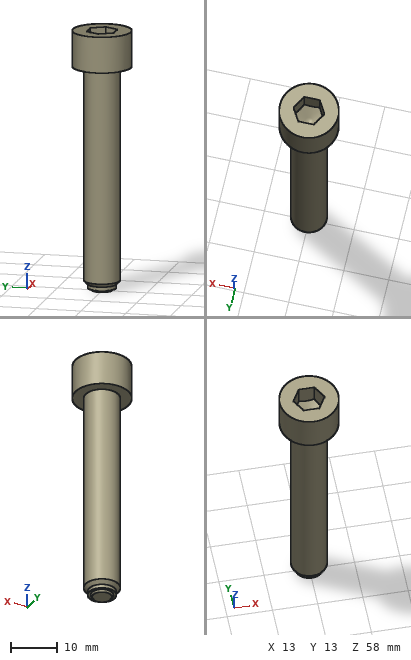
import cadquery as cq
import math

TOTAL_LENGTH = 58.0
HEAD_DIAMETER = 13.0
HEAD_HEIGHT = 8.0
SHANK_DIAMETER = 8.0

TIP_CHAMFER = 0.85
COLLAR_HEIGHT = 0.85
BALL_PROTRUSION = 0.5

BALL_RADIUS = 2.7
BALL_CENTRE_TO_FLAT = 1.6

SOCKET_ACROSS_FLATS = 6.0
SOCKET_DEPTH = 4.0
SOCKET_CONE_ANGLE = 120.0

SHANK_RADIUS = SHANK_DIAMETER / 2
COLLAR_RADIUS = SHANK_RADIUS - TIP_CHAMFER
COLLAR_END_Z = BALL_PROTRUSION
CHAMFER_END_Z = COLLAR_END_Z + COLLAR_HEIGHT
SHANK_END_Z = CHAMFER_END_Z + TIP_CHAMFER
HEAD_BOTTOM_Z = TOTAL_LENGTH - HEAD_HEIGHT


def ball_sphere():
    """Full sphere, the shape of the seat."""
    return cq.Workplane("XY").sphere(BALL_RADIUS).translate((0, 0, BALL_CENTRE_TO_FLAT))


def make_ball():
    """Ball cut off flat below Z = 0."""
    half_space = cq.Workplane("XY").circle(2 * BALL_RADIUS).extrude(4 * BALL_RADIUS)
    return ball_sphere().intersect(half_space)


def socket():
    """Hexagonal prism whose bottom is bounded by a cone through its corners."""
    corner_radius = SOCKET_ACROSS_FLATS / math.sqrt(3)
    cone_height = corner_radius / math.tan(math.radians(SOCKET_CONE_ANGLE / 2))
    cone_base_z = TOTAL_LENGTH - SOCKET_DEPTH
    apex_z = cone_base_z - cone_height
    prism = (
        cq.Workplane("XY")
        .workplane(offset=apex_z)
        .polygon(6, 2 * corner_radius)
        .extrude(TOTAL_LENGTH - apex_z)
    )
    pointed_bore = (
        cq.Workplane("XZ")
        .moveTo(0, apex_z)
        .lineTo(corner_radius, cone_base_z)
        .lineTo(corner_radius, TOTAL_LENGTH)
        .lineTo(0, TOTAL_LENGTH)
        .close()
        .revolve(360, (0, 0, 0), (0, 1, 0))
    )
    return prism.intersect(pointed_bore)


def make_screw():
    """Turned screw with a hexagon socket in the head and a ball seat in the tip."""
    turned = (
        cq.Workplane("XZ")
        .moveTo(0, COLLAR_END_Z)
        .lineTo(COLLAR_RADIUS, COLLAR_END_Z)
        .lineTo(COLLAR_RADIUS, CHAMFER_END_Z)
        .lineTo(SHANK_RADIUS, SHANK_END_Z)
        .lineTo(SHANK_RADIUS, HEAD_BOTTOM_Z)
        .lineTo(HEAD_DIAMETER / 2, HEAD_BOTTOM_Z)
        .lineTo(HEAD_DIAMETER / 2, TOTAL_LENGTH)
        .lineTo(0, TOTAL_LENGTH)
        .close()
        .revolve(360, (0, 0, 0), (0, 1, 0))
    )
    return turned.cut(socket()).cut(ball_sphere())


screw = make_screw()
ball = make_ball()

result = cq.Compound.makeCompound([screw.solids().val(), ball.solids().val()])